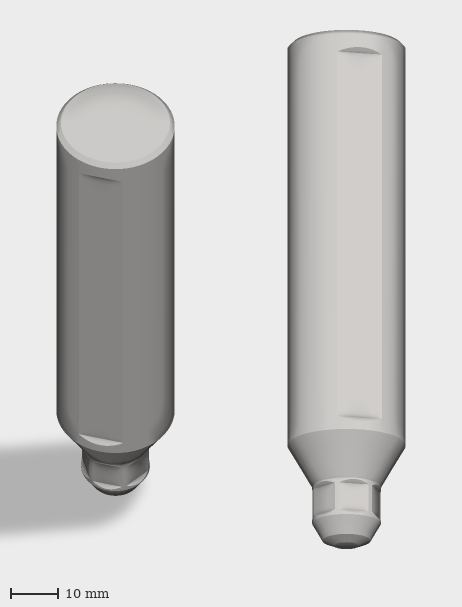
import cadquery as cq
import math

length = 110.0
handle_diameter = 25.0
top_chamfer = 1.0
handle_bottom = 22.0

grip_sides = 2
grip_across_flats = 23.0
grip_bottom = 25.0
grip_top = 105.0

collar_diameter = 14.5
collar_bottom = 4.85
hex_sides = 6
hex_across_flats = 13.0
hex_bottom = 6.0
hex_top = 11.85

cone_angle = 60.0
nose_bottom = 1.1

tip_end_diameter = 5.2


def turned_body():
    """Handle, taper, collar, nose and tip revolved about Z."""
    handle_radius = handle_diameter / 2
    collar_radius = collar_diameter / 2
    cone_slope = math.tan(math.radians(cone_angle))
    collar_top = handle_bottom - (handle_radius - collar_radius) * cone_slope
    nose_radius = collar_radius - (collar_bottom - nose_bottom) / cone_slope
    profile = (
        cq.Workplane("XZ")
        .lineTo(tip_end_diameter / 2, 0)
        .lineTo(nose_radius, nose_bottom)
        .lineTo(collar_radius, collar_bottom)
        .lineTo(collar_radius, collar_top)
        .lineTo(handle_radius, handle_bottom)
        .lineTo(handle_radius, length - top_chamfer)
        .lineTo(handle_radius - top_chamfer, length)
        .lineTo(0, length)
        .close()
    )
    return profile.revolve(360, (0, 0), (0, 1))


def flat_cutter(across_flats, outer_diameter, bottom, top):
    """Cutter for one flat with 45 degree ends, facing +Y."""
    flat_distance = across_flats / 2
    outer_radius = outer_diameter / 2
    depth = outer_radius - flat_distance
    return (
        cq.Workplane("YZ")
        .moveTo(flat_distance, bottom)
        .lineTo(outer_radius, bottom - depth)
        .lineTo(outer_radius, top + depth)
        .lineTo(flat_distance, top)
        .close()
        .extrude(outer_radius, both=True)
    )


def cut_around(body, cutter, count):
    """Cut evenly spaced copies of a cutter around Z."""
    for index in range(count):
        body = body.cut(cutter.rotate((0, 0, 0), (0, 0, 1), index * 360 / count))
    return body


grip_cutter = flat_cutter(grip_across_flats, handle_diameter, grip_bottom, grip_top)
hex_cutter = flat_cutter(hex_across_flats, collar_diameter, hex_bottom, hex_top)

body = turned_body()
body = cut_around(body, grip_cutter, grip_sides)
result = cut_around(body, hex_cutter, hex_sides)